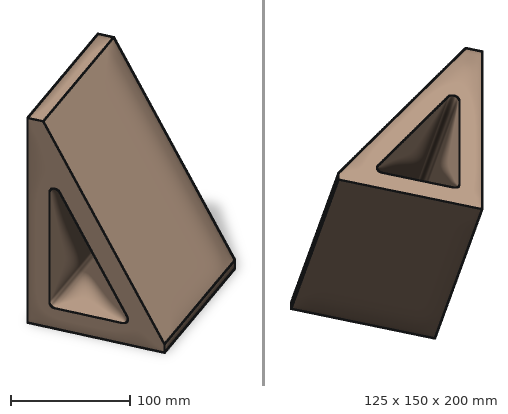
import cadquery as cq
import math

length = 125.0
width = 150.0
height = 200.0

top_land = 14.5
slope_angle = math.radians(60)
toe_height = height - (length - top_land) * math.tan(slope_angle)

wall = 20.0
corner_radius = 5.0


def sloped_inner_height(x):
    """Height of the window's sloped side at a given x."""
    vertical_offset = wall / math.cos(slope_angle)
    return height - (x - top_land) * math.tan(slope_angle) - vertical_offset


def extrude_along_y(points):
    """Closed XZ outline extruded across the width, centred on Y."""
    return cq.Workplane("XZ").polyline(points).close().extrude(width / 2, both=True)


body = extrude_along_y([
    (0, 0),
    (length, 0),
    (length, toe_height),
    (top_land, height),
    (0, height),
])

window_top = sloped_inner_height(wall)
window_tip = wall + (window_top - wall) / math.tan(slope_angle)
window = extrude_along_y([
    (wall, wall),
    (window_tip, wall),
    (wall, window_top),
]).edges("|Y").fillet(corner_radius)

result = body.cut(window)